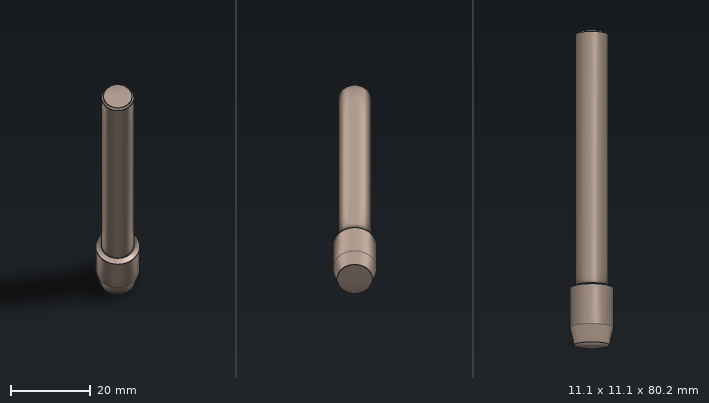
import cadquery as cq

total_height = 80.2

rod_diameter = 8.2
rod_chamfer = 0.5

head_diameter = 11.12
tip_diameter = 8.94
taper_height = 4.5
shoulder_height = 14.7
shoulder_rise = 0.55

rod_radius = rod_diameter / 2
head_radius = head_diameter / 2
tip_radius = tip_diameter / 2
head_height = shoulder_height + shoulder_rise
rod_length = total_height - head_height


def make_rod():
    """Round rod standing on the head, with a chamfered upper edge."""
    rod = cq.Workplane("XY", origin=(0, 0, head_height)).circle(rod_radius).extrude(rod_length)
    return rod.faces(">Z").chamfer(rod_chamfer)


def make_head():
    """Solid head whose half section is revolved about Z; its top face matches the rod."""
    half_section = (
        cq.Workplane("YZ")
        .lineTo(tip_radius, 0)
        .lineTo(head_radius, taper_height)
        .lineTo(head_radius, shoulder_height)
        .lineTo(rod_radius, head_height)
        .lineTo(0, head_height)
        .close()
    )
    return half_section.revolve(360, (0, 0, 0), (0, 1, 0))


rod = make_rod()
head = make_head()

result = cq.Compound.makeCompound([rod.val(), head.val()])